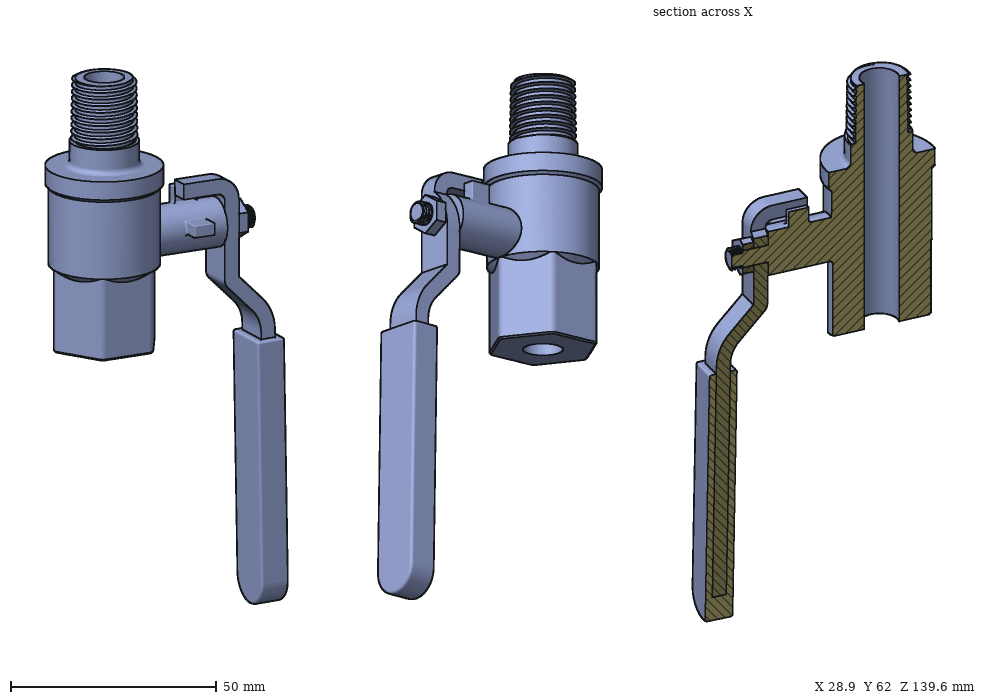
import cadquery as cq
import math


overall_height = 139.6

bore_radius = 4.9
flange_diameter = 28.9
barrel_radius = 13.7
neck_radius = 8.5
neck_fillet = 1.4
pipe_top = 41.0
neck_top = 25.0
flange_top = 18.7
flange_bottom = 14.1
barrel_bottom = -6.3
hex_bottom = -27.1
hex_flats = 24.3
hex_corner_fillet = 1.8
hex_bottom_chamfer = 0.4

pipe_root_top = 7.0
pipe_root_bottom = 7.3
pipe_thread_depth = 0.91
pipe_pitch = 1.7
pipe_start_angle = 135

tooth_half_base = 0.3
tooth_overlap = 0.3

boss_radius = 6.3
boss_face = 30.7
lug_width = 3.1
lug_near = 19.5
lug_far = 25.1
lug_tip = 10.3
lug_edge_fillet = 0.3
lug_base_fillet = 0.4

stem_radius = 2.8
stem_root = 2.2
stem_end = 40.5
stem_pitch = 0.8
nut_flats = 8.5
nut_thickness = 3.0

strip = 3.9
lever_width = 9.8
tab_end = 19.4
tab_middle = 10.3
tab_inner_bend = 2.0
upper_bend = -14.1
joggle = 9.9
upper_bend_round = 2.5
lower_inner_bend = 8.1
shoulder_top = 6.3
shoulder_bottom = -3.4

grip_tilt = math.radians(1.0)
grip_width = 13.1
grip_thickness = 7.5
grip_mouth = -30.2
grip_fillet = 0.7

flange_radius = flange_diameter / 2
half_lever = lever_width / 2
plate_middle = boss_face + strip / 2
plate_outer = boss_face + strip
nut_outer = plate_outer + nut_thickness
lower_bend = (plate_middle + joggle, upper_bend - joggle)
tang_lead = lower_bend[1] - grip_mouth
mouth_middle = lower_bend[0] + tang_lead * math.tan(grip_tilt)
grip_drop_to_edge = (
    overall_height
    - pipe_top
    + grip_mouth
    - (grip_thickness / 2 - grip_fillet) * math.sin(grip_tilt)
    - grip_fillet
)
grip_length = grip_fillet + grip_drop_to_edge / math.cos(grip_tilt)
tang_length = grip_length - grip_width / 2
tang_end = (
    mouth_middle + tang_length * math.sin(grip_tilt),
    grip_mouth - tang_length * math.cos(grip_tilt),
)

STEM_PLANE = cq.Plane(origin=(0, 0, 0), xDir=(-1, 0, 0), normal=(0, 1, 0))


def threaded_rod(top_root, bottom_root, length, depth, pitch):
    """Helically threaded rod from Z = 0 down to Z = -length, with the given root radii."""
    slope = (bottom_root - top_root) / length
    core = (
        cq.Workplane("XZ")
        .polyline([(0, 0), (top_root, 0), (bottom_root, -length), (0, -length)])
        .close()
        .revolve(360, (0, 0), (0, 1))
    )
    start_radius = top_root - slope * pitch
    cone_angle = math.degrees(math.atan(slope)) or 360
    helix = cq.Wire.makeHelix(
        pitch,
        length + 2 * pitch,
        start_radius,
        center=cq.Vector(0, 0, pitch),
        dir=cq.Vector(0, 0, -1),
        angle=cone_angle,
    )
    start = helix.startPoint()
    half_base = tooth_half_base * pitch
    sunk = tooth_overlap * depth
    tooth_plane = cq.Plane(
        origin=start,
        xDir=(start.x, start.y, 0),
        normal=(-start.y, start.x, 0),
    )
    ridge = (
        cq.Workplane(tooth_plane)
        .polyline([
            (-sunk, -half_base),
            (depth, 0),
            (-sunk, half_base),
        ])
        .close()
        .sweep(cq.Workplane(helix), isFrenet=True)
    )
    envelope = cq.Workplane("XY").circle(2 * bottom_root).extrude(-length)
    return core.union(ridge.intersect(envelope))


def turned_shell():
    """Barrel, flange and neck, closed below by a 45 degree cone that runs into the hexagon."""
    cone_tip = barrel_radius - bore_radius
    step = flange_radius - barrel_radius
    return (
        cq.Workplane("XZ")
        .moveTo(0, barrel_bottom - cone_tip)
        .lineTo(bore_radius, barrel_bottom - cone_tip)
        .lineTo(barrel_radius, barrel_bottom)
        .lineTo(barrel_radius, flange_bottom - step)
        .lineTo(flange_radius, flange_bottom)
        .lineTo(flange_radius, flange_top)
        .lineTo(neck_radius + neck_fillet, flange_top)
        .radiusArc((neck_radius, flange_top + neck_fillet), neck_fillet)
        .lineTo(neck_radius, neck_top)
        .lineTo(0, neck_top)
        .close()
        .revolve(360, (0, 0), (0, 1))
    )


def wrench_hex():
    """Hexagon with rounded corners, one corner facing -Y."""
    return (
        cq.Workplane("XY", origin=(0, 0, hex_bottom))
        .polygon(6, hex_flats, circumscribed=True)
        .extrude(barrel_bottom - hex_bottom)
        .edges("|Z")
        .fillet(hex_corner_fillet)
        .faces("<Z")
        .chamfer(hex_bottom_chamfer)
    )


def stop_lug():
    """Stop block on top of the boss, its +X side on the middle plane."""
    return (
        cq.Workplane("XY")
        .box(lug_width, lug_far - lug_near, lug_tip, centered=False)
        .translate((-lug_width, lug_near, 0))
        .faces("<X or >Z")
        .edges("not <Z")
        .fillet(lug_edge_fillet)
    )


def boss_with_lug():
    """Boss with one lug, blended where the lug meets the round."""
    margin = 0.1
    lug_base = cq.selectors.BoxSelector(
        (-lug_width - margin, lug_near - margin, 0),
        (margin, lug_far + margin, boss_radius + margin),
    )
    return (
        cq.Workplane(STEM_PLANE)
        .circle(boss_radius)
        .extrude(boss_face)
        .union(stop_lug())
        .edges(lug_base)
        .fillet(lug_base_fillet)
    )


def stem_boss():
    """Boss with its two lugs, the second turned from the top to the +X side."""
    boss = boss_with_lug()
    return boss.union(boss.rotate((0, 0, 0), (0, 1, 0), 90))


def stem():
    """Plain shank through lever and nut, then a threaded end."""
    shank = cq.Workplane(STEM_PLANE).circle(stem_radius).extrude(nut_outer)
    thread_depth = stem_radius - stem_root
    thread = (
        threaded_rod(stem_root, stem_root, stem_end - nut_outer, thread_depth, stem_pitch)
        .rotate((0, 0, 0), (1, 0, 0), -90)
        .translate((0, stem_end, 0))
    )
    return shank.union(thread)


def valve_body():
    pipe_thread = (
        threaded_rod(
            pipe_root_top, pipe_root_bottom, pipe_top - neck_top, pipe_thread_depth, pipe_pitch
        )
        .rotate((0, 0, 0), (0, 0, 1), pipe_start_angle)
        .translate((0, 0, pipe_top))
    )
    bore = (
        cq.Workplane("XY", origin=(0, 0, hex_bottom))
        .circle(bore_radius)
        .extrude(pipe_top - hex_bottom)
    )
    return (
        turned_shell()
        .union(wrench_hex())
        .union(stem_boss())
        .union(pipe_thread)
        .union(stem())
        .cut(bore)
    )


def offset_path(points, distance):
    """Shift a polyline sideways by `distance` (left of travel is positive), with mitred corners."""
    headings = [math.atan2(b[1] - a[1], b[0] - a[0]) for a, b in zip(points, points[1:])]
    before = [headings[0]] + headings
    after = headings + [headings[-1]]
    shifted = []
    for (y, z), turn_in, turn_out in zip(points, before, after):
        middle = (turn_in + turn_out) / 2
        reach = distance / math.cos((turn_out - turn_in) / 2)
        shifted.append((y - reach * math.sin(middle), z + reach * math.cos(middle)))
    return shifted


def lever_strip():
    """Strip bent from the stop tab over the boss, down the plate and out to the tang."""
    middle_line = [
        (tab_end, tab_middle),
        (plate_middle, tab_middle),
        (plate_middle, upper_bend),
        lower_bend,
        tang_end,
    ]
    outer = offset_path(middle_line, strip / 2)
    inner = offset_path(middle_line, -strip / 2)
    bends = [
        (inner[1], tab_inner_bend),
        (outer[1], tab_inner_bend + strip),
        (inner[2], upper_bend_round),
        (inner[3], lower_inner_bend),
        (outer[3], lower_inner_bend + strip),
    ]
    blank = (
        cq.Workplane("YZ")
        .polyline(outer + inner[::-1])
        .close()
        .extrude(half_lever, both=True)
    )
    for (y, z), radius in bends:
        blank = blank.edges(cq.selectors.NearestToPointSelector((0, y, z))).fillet(radius)
    return blank


def shoulder_cut():
    """Waste above the curved shoulder on the -X half, beside the stop tab."""
    rise = shoulder_top - shoulder_bottom
    arc_radius = (half_lever**2 + rise**2) / (2 * half_lever)
    waste_top = tab_middle + strip
    return (
        cq.Workplane("XZ")
        .moveTo(-half_lever, shoulder_bottom)
        .radiusArc((0, shoulder_top), arc_radius)
        .lineTo(0, waste_top)
        .lineTo(-half_lever, waste_top)
        .close()
        .extrude(-plate_outer)
    )


def stem_hole():
    return cq.Workplane(STEM_PLANE).circle(stem_radius).extrude(stem_end)


def lever_arm():
    return lever_strip().cut(shoulder_cut()).cut(stem_hole())


def lever_nut():
    """Hexagon nut with one corner up."""
    return (
        cq.Workplane(STEM_PLANE)
        .workplane(offset=plate_outer)
        .polygon(6, nut_flats, circumscribed=True)
        .extrude(nut_thickness)
        .cut(stem_hole())
    )


def lever_grip(arm):
    """Sleeve with a round end, pocketed to fit the lever's tang."""
    down_the_grip = cq.Plane(
        origin=(0, mouth_middle, grip_mouth),
        xDir=(1, 0, 0),
        normal=(0, math.cos(grip_tilt), math.sin(grip_tilt)),
    )
    half_width = grip_width / 2
    sleeve = (
        cq.Workplane(down_the_grip)
        .moveTo(-half_width, 0)
        .lineTo(half_width, 0)
        .lineTo(half_width, tang_length)
        .threePointArc((0, grip_length), (-half_width, tang_length))
        .close()
        .extrude(grip_thickness / 2, both=True)
        .edges()
        .fillet(grip_fillet)
    )
    return sleeve.cut(arm)


housing = valve_body()
lever = lever_arm()
nut = lever_nut()
grip = lever_grip(lever)

result = cq.Compound.makeCompound([
    housing.solids().val(),
    lever.solids().val(),
    nut.solids().val(),
    grip.solids().val(),
])